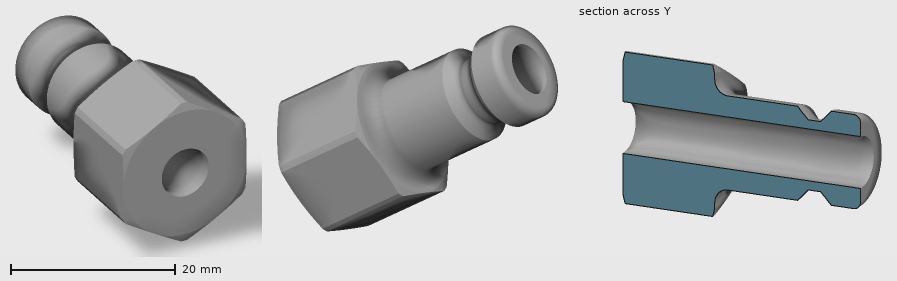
import cadquery as cq
import math

length = 33.25
groove_start = 4.15
groove_floor_start = 5.65
groove_floor_end = 7.35
groove_end = 8.85
hex_start = 20.38

bore_diameter = 6.5
plug_diameter = 11.95
groove_diameter = 8.9
across_flats = 17.0
across_corners = 19.15

tip_fillet = 1.03
root_fillet = 1.8
hex_chamfer_depth = 0.3

plug_radius = plug_diameter / 2
groove_radius = groove_diameter / 2
corner_radius = across_corners / 2
face_radius = across_flats / 2


def make_plug():
    """Turned plug with a rounded tip, a latch groove and a flared root."""
    diagonal = math.sqrt(0.5)
    tip_mid = (
        tip_fillet * (1 - diagonal),
        plug_radius - tip_fillet * (1 - diagonal),
    )
    root_mid = (
        hex_start - root_fillet * (1 - diagonal),
        plug_radius + root_fillet * (1 - diagonal),
    )
    return (
        cq.Workplane("XY")
        .lineTo(0, plug_radius - tip_fillet)
        .threePointArc(tip_mid, (tip_fillet, plug_radius))
        .lineTo(groove_start, plug_radius)
        .lineTo(groove_floor_start, groove_radius)
        .lineTo(groove_floor_end, groove_radius)
        .lineTo(groove_end, plug_radius)
        .lineTo(hex_start - root_fillet, plug_radius)
        .threePointArc(root_mid, (hex_start, plug_radius + root_fillet))
        .lineTo(length, plug_radius + root_fillet)
        .lineTo(length, 0)
        .close()
        .revolve(360, (0, 0), (1, 0))
    )


def make_hexagon():
    """Hexagon with corners up and down, trimmed by a chamfered cylinder."""
    prism = (
        cq.Workplane("YZ", origin=(hex_start, 0, 0))
        .transformed(rotate=(0, 0, 90))
        .polygon(6, across_flats / math.cos(math.pi / 6))
        .extrude(length - hex_start)
    )
    envelope = (
        cq.Workplane("XY")
        .moveTo(hex_start, 0)
        .lineTo(hex_start, face_radius)
        .lineTo(hex_start + hex_chamfer_depth, corner_radius)
        .lineTo(length - hex_chamfer_depth, corner_radius)
        .lineTo(length, face_radius)
        .lineTo(length, 0)
        .close()
        .revolve(360, (hex_start, 0), (length, 0))
    )
    return prism.intersect(envelope)


def make_bore():
    """Through bore along the part axis."""
    return cq.Workplane("YZ").circle(bore_diameter / 2).extrude(length)


result = make_plug().union(make_hexagon()).cut(make_bore())